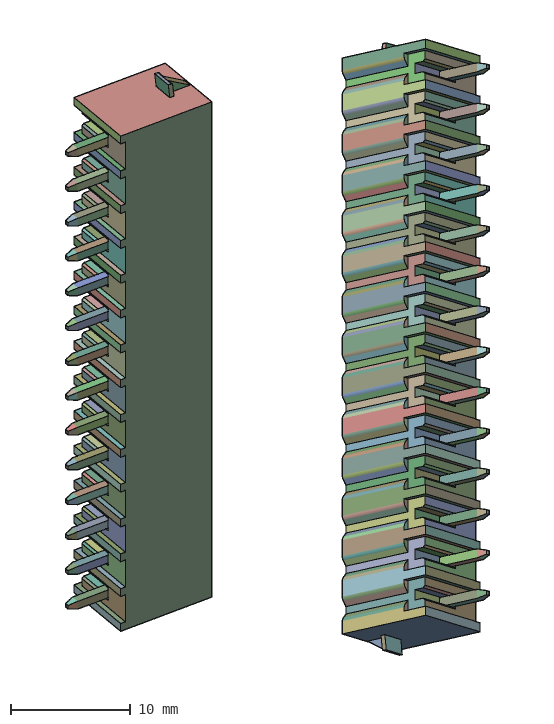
import cadquery as cq
import math


total_height = 52.5
total_depth = 12.6
width = 7.0
body_height = 49.8
pin_count = 14

rib_thickness = 0.8
rib_depth = 9.2
floor_depth = 8.7
pitch = (body_height - rib_thickness) / pin_count
cell_height = pitch - rib_thickness

recess = 0.45
groove_length = 6.8
groove_mouth = 2.1
groove_edge_radius = 0.5
groove_wall_angle = math.radians(41)

pin_size = 0.8
pin_tip_size = 0.35
pin_tip_length = 0.85
pin_offset = 4.0
slot_depth = 7.6
slot_width = 0.9
slot_mouth = 1.25
slot_chamfer_depth = 0.2

latch_height = (total_height - body_height) / 2
latch_lean = 0.15
plate_width = 2.05
plate_thickness = 0.4
plate_offset = 2.15
web_width = 0.8
ramp_start = 0.1
ramp_end = 2.4

left = -width / 2
recessed_left = left + recess
pin_x = left + pin_offset
cell_centers = [(i - (pin_count - 1) / 2) * pitch for i in range(pin_count)]


def block(x_min, x_max, depth_min, depth_max, z_center, height):
    """Box whose depth is measured from the mating face towards -Y."""
    return (
        cq.Workplane("XY")
        .box(x_max - x_min, depth_max - depth_min, height, centered=False)
        .translate((x_min, -depth_max, z_center - height / 2))
    )


def cell_cut(z):
    """Space between two ribs: floor step, and the recessed side beyond the groove."""
    front_step = block(left, width / 2, floor_depth, rib_depth, z, cell_height)
    side_step = block(left, recessed_left, groove_length, rib_depth, z, cell_height)
    return front_step.union(side_step)


def groove_cut(z):
    """Groove along the left side: rounded edges running tangent into sloping walls."""

    def edge_point(angle):
        depth = groove_edge_radius * (1 - math.cos(angle))
        offset = groove_mouth / 2 - groove_edge_radius * math.sin(angle)
        return left + depth, offset

    mouth_x, mouth_offset = edge_point(0)
    mid_x, mid_offset = edge_point(groove_wall_angle / 2)
    wall_x, wall_offset = edge_point(groove_wall_angle)
    bottom_offset = wall_offset - (recessed_left - wall_x) / math.tan(groove_wall_angle)
    return (
        cq.Workplane("XZ")
        .moveTo(mouth_x, mouth_offset)
        .threePointArc((mid_x, mid_offset), (wall_x, wall_offset))
        .lineTo(recessed_left, bottom_offset)
        .lineTo(recessed_left, -bottom_offset)
        .lineTo(wall_x, -wall_offset)
        .threePointArc((mid_x, -mid_offset), (mouth_x, -mouth_offset))
        .close()
        .extrude(groove_length)
        .translate((0, 0, z))
    )


def slot_cut(z):
    """Slot from the recessed side to the pin, with a chamfered mouth."""
    slot_end = pin_x + pin_size / 2
    chamfer_start = floor_depth - slot_chamfer_depth
    upper_side = [
        (-slot_depth, slot_width / 2),
        (-chamfer_start, slot_width / 2),
        (-floor_depth, slot_mouth / 2),
    ]
    lower_side = [(y, -offset) for y, offset in reversed(upper_side)]
    return (
        cq.Workplane("YZ")
        .polyline(upper_side + lower_side)
        .close()
        .extrude(slot_end - left)
        .translate((left, 0, z))
    )


def pin(z):
    """Square pin standing on the slot floor, with a tapered tip."""
    shank_end = total_depth - pin_tip_length
    return (
        cq.Workplane("XZ", origin=(pin_x, -slot_depth, z))
        .rect(pin_size, pin_size)
        .extrude(shank_end - slot_depth)
        .faces("<Y")
        .workplane()
        .rect(pin_size, pin_size)
        .workplane(offset=pin_tip_length)
        .rect(pin_tip_size, pin_tip_size)
        .loft(combine=True)
    )


def top_latch():
    """Leaning plate backed by a narrow web; one ramp runs up the web and over the plate."""
    base_z = body_height / 2
    tip_z = total_height / 2
    plate_end = plate_offset + plate_thickness
    meeting_share = (plate_offset - ramp_start) / (ramp_end - ramp_start - latch_lean)
    plate_profile = [
        (-plate_offset, base_z),
        (-plate_end, base_z),
        (-plate_end - latch_lean, tip_z),
        (-ramp_end, tip_z),
        (-plate_offset - latch_lean * meeting_share, base_z + latch_height * meeting_share),
    ]
    web_profile = [
        (-ramp_start, base_z),
        (-plate_end, base_z),
        (-ramp_end, tip_z),
    ]
    plate = cq.Workplane("YZ").polyline(plate_profile).close().extrude(plate_width / 2, both=True)
    web = cq.Workplane("YZ").polyline(web_profile).close().extrude(web_width / 2, both=True)
    return plate.union(web)


body = block(left, width / 2, 0, rib_depth, 0, body_height)
for center in cell_centers:
    body = body.cut(cell_cut(center)).cut(groove_cut(center)).cut(slot_cut(center))
for center in cell_centers:
    body = body.union(pin(center))

latch = top_latch()
result = body.union(latch).union(latch.mirror("XY"))